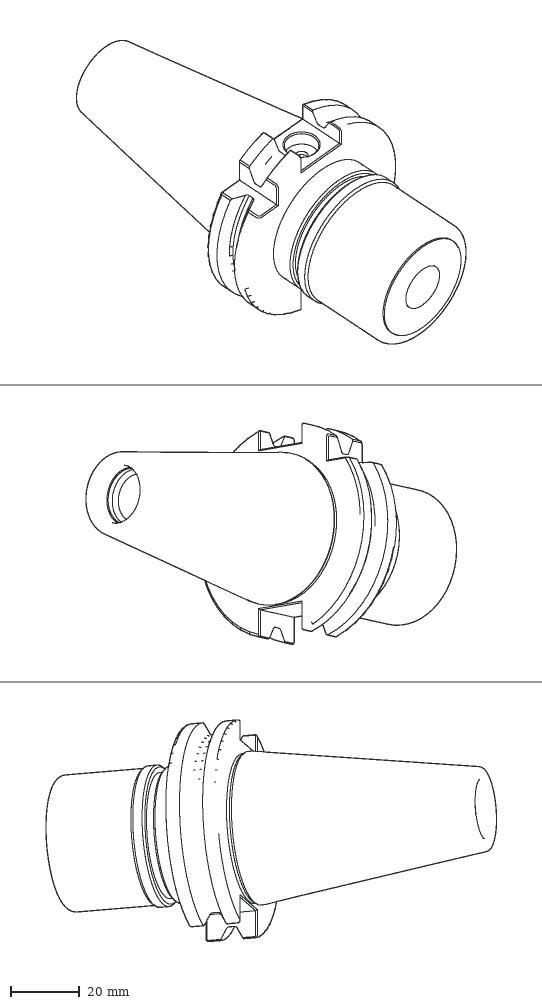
import cadquery as cq
import math

OVERALL_LENGTH = 128.4
CUT_MARGIN = 1.3

TAPER_LENGTH = 69.1
TAPER_DIAMETER = 44.8
TAPER_RATIO = 7 / 24
TIP_FILLET = 0.9
RELIEF_START = 70.1
RELIEF_CHAMFER_LENGTH = 0.8
RELIEF_DEPTH = 0.5

FLANGE_START = 71.8
FLANGE_END = 87.5
FLANGE_DIAMETER = 63.5
FLANGE_FRONT_FILLET = 0.8
FLANGE_BACK_FILLET = 1.0

GROOVE_CENTRE = 79.5
GROOVE_FLOOR_DIAMETER = 56.0
GROOVE_MOUTH_WIDTH = 7.0
GROOVE_FLANK_ANGLE = 30.0
GROOVE_FILLET = 1.0

SLOT_WIDTH = 16.0
TOP_SLOT_FLOOR = 24.9
BOTTOM_SLOT_FLOOR = 22.6
NOTCH_WALL = 18.4
NOTCH_FLOOR = 18.4
SLOT_EDGE_CHAMFER = 0.4

RECESS_DIAMETER = 10.0
RECESS_DEPTH = 4.5
RECESS_CHAMFER = 0.4
PILOT_DIAMETER = 3.9
PILOT_DEPTH = 1.3
PILOT_POINT_ANGLE = 118.0

COLLAR_DIAMETER = 40.0
COLLAR_END = 94.8
COLLAR_CHAMFER = 0.6
NECK_DIAMETER = 36.9
NOSE_DIAMETER = 32.1

BORE_DIAMETER = 14.1
COUNTERBORE_DIAMETER = 17.1
COUNTERBORE_DEPTH = 5.4
MOUTH_FILLET = 1.0
STEP_DIAMETER = 16.5
STEP_END = 7.5
BORE_CONE_END = 8.7

NUT_START = 97.2
NUT_END = 127.9
NUT_DIAMETER = 40.0
NUT_RING_DIAMETER = 41.3
NUT_RING_LENGTH = 3.5
NUT_RING_CHAMFER = 0.6
NUT_RING_SLOPE_LENGTH = 0.8
NUT_END_FILLET = 2.2


def revolve_about_x(profile):
    """Turn a closed profile, drawn as (position along X, radius), about the X axis."""
    return profile.close().revolve(360, (0, 0, 0), (1, 0, 0))


def taper_and_nose():
    """Taper, relief, collar and nose in one outline, without the flange."""
    taper_radius = TAPER_DIAMETER / 2
    tip_radius = taper_radius - TAPER_LENGTH * TAPER_RATIO / 2
    relief_radius = taper_radius - RELIEF_DEPTH
    collar_radius = COLLAR_DIAMETER / 2
    neck_radius = NECK_DIAMETER / 2
    nose_radius = NOSE_DIAMETER / 2
    profile = (
        cq.Workplane("XZ")
        .moveTo(0, 0)
        .lineTo(0, tip_radius)
        .lineTo(TAPER_LENGTH, taper_radius)
        .lineTo(RELIEF_START, taper_radius)
        .lineTo(RELIEF_START + RELIEF_CHAMFER_LENGTH, relief_radius)
        .lineTo(FLANGE_START, relief_radius)
        .lineTo(FLANGE_START, collar_radius)
        .lineTo(COLLAR_END - COLLAR_CHAMFER, collar_radius)
        .lineTo(COLLAR_END, collar_radius - COLLAR_CHAMFER)
        .lineTo(COLLAR_END, neck_radius)
        .lineTo(NUT_START, neck_radius)
        .lineTo(NUT_START, nose_radius)
        .lineTo(OVERALL_LENGTH, nose_radius)
        .lineTo(OVERALL_LENGTH, 0)
    )
    return revolve_about_x(profile).faces("<X").edges().fillet(TIP_FILLET)


def flange_disc():
    """Plain flange with its two outer edges rounded."""
    radius = FLANGE_DIAMETER / 2
    profile = (
        cq.Workplane("XZ")
        .moveTo(FLANGE_START, 0)
        .lineTo(FLANGE_START, radius - FLANGE_FRONT_FILLET)
        .radiusArc((FLANGE_START + FLANGE_FRONT_FILLET, radius), FLANGE_FRONT_FILLET)
        .lineTo(FLANGE_END - FLANGE_BACK_FILLET, radius)
        .radiusArc((FLANGE_END, radius - FLANGE_BACK_FILLET), FLANGE_BACK_FILLET)
        .lineTo(FLANGE_END, 0)
    )
    return revolve_about_x(profile)


def v_groove():
    """Ring-shaped cutter for the V-groove, with rounded floor corners."""
    floor_radius = GROOVE_FLOOR_DIAMETER / 2
    flange_radius = FLANGE_DIAMETER / 2
    flank = math.radians(GROOVE_FLANK_ANGLE)
    outer_radius = flange_radius + CUT_MARGIN
    outer_half = GROOVE_MOUTH_WIDTH / 2 + CUT_MARGIN * math.tan(flank)
    corner_half = GROOVE_MOUTH_WIDTH / 2 - (flange_radius - floor_radius) * math.tan(flank)

    setback = GROOVE_FILLET * math.tan((math.pi / 2 - flank) / 2)
    floor_half = corner_half - setback
    flank_half = corner_half + setback * math.sin(flank)
    flank_radius = floor_radius + setback * math.cos(flank)
    profile = (
        cq.Workplane("XZ")
        .moveTo(GROOVE_CENTRE - outer_half, outer_radius)
        .lineTo(GROOVE_CENTRE - flank_half, flank_radius)
        .radiusArc((GROOVE_CENTRE - floor_half, floor_radius), -GROOVE_FILLET)
        .lineTo(GROOVE_CENTRE + floor_half, floor_radius)
        .radiusArc((GROOVE_CENTRE + flank_half, flank_radius), -GROOVE_FILLET)
        .lineTo(GROOVE_CENTRE + outer_half, outer_radius)
    )
    return revolve_about_x(profile)


def slot_cutter(y_min, y_max, z_min, z_max):
    """Rectangular cutter running along X right through the flange."""
    length = FLANGE_END - FLANGE_START + 2 * CUT_MARGIN
    return (
        cq.Workplane("XY")
        .box(length, y_max - y_min, z_max - z_min, centered=False)
        .translate((FLANGE_START - CUT_MARGIN, y_min, z_min))
    )


def cut_slots(flange):
    """Cut the two drive slots and the (-Y, +Z) notch, and chamfer their outer edges."""
    reach = FLANGE_DIAMETER / 2 + CUT_MARGIN
    half_width = SLOT_WIDTH / 2
    cutters = [
        slot_cutter(-half_width, half_width, TOP_SLOT_FLOOR, reach),
        slot_cutter(-half_width, half_width, -reach, -BOTTOM_SLOT_FLOOR),
        slot_cutter(-reach, -NOTCH_WALL, NOTCH_FLOOR, reach),
    ]
    for cutter in cutters:
        removed = flange.intersect(cutter)
        flange = flange.cut(cutter)
        flange = flange.newObject(outer_slot_edges(flange, removed)).chamfer(SLOT_EDGE_CHAMFER)
    return flange


def outer_slot_edges(flange, removed):
    """Edges the slot shares with the removed piece, except the slot's inside corners."""
    tolerance = 0.0001
    rounded_start = FLANGE_DIAMETER / 2 - max(FLANGE_FRONT_FILLET, FLANGE_BACK_FILLET)
    edges = []
    for edge in flange.edges().vals():
        middle = edge.positionAt(0.5)
        on_slot = removed.val().distance(cq.Vertex.makeVertex(*middle.toTuple())) < tolerance
        on_face = min(middle.x - FLANGE_START, FLANGE_END - middle.x) < tolerance
        on_rim = math.hypot(middle.y, middle.z) > rounded_start
        if on_slot and (on_face or on_rim):
            edges.append(edge)
    return edges


def slot_recess():
    """Chamfered flat-bottomed recess in the top slot, with a blind drilled pilot below it."""
    recess_radius = RECESS_DIAMETER / 2
    pilot_radius = PILOT_DIAMETER / 2
    recess_floor = TOP_SLOT_FLOOR - RECESS_DEPTH
    pilot_end = recess_floor - PILOT_DEPTH
    point_end = pilot_end - pilot_radius / math.tan(math.radians(PILOT_POINT_ANGLE / 2))
    return (
        cq.Workplane("XZ")
        .moveTo(0, TOP_SLOT_FLOOR)
        .lineTo(recess_radius + RECESS_CHAMFER, TOP_SLOT_FLOOR)
        .lineTo(recess_radius, TOP_SLOT_FLOOR - RECESS_CHAMFER)
        .lineTo(recess_radius, recess_floor)
        .lineTo(pilot_radius, recess_floor)
        .lineTo(pilot_radius, pilot_end)
        .lineTo(0, point_end)
        .close()
        .revolve(360, (0, 0, 0), (0, 1, 0))
        .translate((GROOVE_CENTRE, 0, 0))
    )


def central_bore():
    """Through bore with a round-mouthed counterbore and short step at the taper's small end."""
    bore_radius = BORE_DIAMETER / 2
    step_radius = STEP_DIAMETER / 2
    counterbore_radius = COUNTERBORE_DIAMETER / 2
    step_start = COUNTERBORE_DEPTH + counterbore_radius - step_radius
    profile = (
        cq.Workplane("XZ")
        .moveTo(0, 0)
        .lineTo(0, counterbore_radius + MOUTH_FILLET)
        .radiusArc((MOUTH_FILLET, counterbore_radius), -MOUTH_FILLET)
        .lineTo(COUNTERBORE_DEPTH, counterbore_radius)
        .lineTo(step_start, step_radius)
        .lineTo(STEP_END, step_radius)
        .lineTo(BORE_CONE_END, bore_radius)
        .lineTo(OVERALL_LENGTH, bore_radius)
        .lineTo(OVERALL_LENGTH, 0)
    )
    return revolve_about_x(profile)


def make_holder():
    """Taper shank, slotted flange and nose as one bored body."""
    flange = cut_slots(flange_disc()).cut(v_groove())
    return taper_and_nose().union(flange).cut(slot_recess()).cut(central_bore())


def make_nut():
    """Sleeve over the holder's nose, with a raised ring at its inner end."""
    bore_radius = NOSE_DIAMETER / 2
    nut_radius = NUT_DIAMETER / 2
    ring_radius = NUT_RING_DIAMETER / 2
    ring_end = NUT_START + NUT_RING_LENGTH
    profile = (
        cq.Workplane("XZ")
        .moveTo(NUT_START, bore_radius)
        .lineTo(NUT_START, ring_radius - NUT_RING_CHAMFER)
        .lineTo(NUT_START + NUT_RING_CHAMFER, ring_radius)
        .lineTo(ring_end, ring_radius)
        .lineTo(ring_end + NUT_RING_SLOPE_LENGTH, nut_radius)
        .lineTo(NUT_END - NUT_END_FILLET, nut_radius)
        .radiusArc((NUT_END, nut_radius - NUT_END_FILLET), NUT_END_FILLET)
        .lineTo(NUT_END, bore_radius)
    )
    return revolve_about_x(profile)


holder = make_holder()
nut = make_nut()

result = cq.Compound.makeCompound([holder.solids().val(), nut.solids().val()])